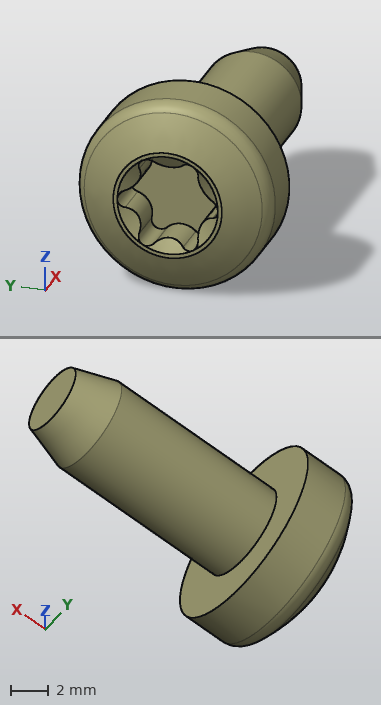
import cadquery as cq
import math

total_length = 17.3
head_radius = 10.8 / 2
head_height = 4.3
shank_radius = 5.5 / 2

face_radius = 3.01
dome_end_x = 0.95
dome_end_radius = 4.93
dome_radius = 9.52
rim_end_x = 1.78
rim_radius = 0.97

taper_start_x = 14.83
tip_radius = 1.97

lobe_count = 6
lobe_outer_radius = 2.79
lobe_inner_radius = 2.02
lobe_tip_radius = 0.5
socket_depth = 2.4
countersink_depth = 0.45


def make_body():
    """Revolve the half profile of head and shank about the X axis."""
    profile = (
        cq.Workplane("XY")
        .lineTo(0, face_radius)
        .radiusArc((dome_end_x, dome_end_radius), dome_radius)
        .radiusArc((rim_end_x, head_radius), rim_radius)
        .lineTo(head_height, head_radius)
        .lineTo(head_height, shank_radius)
        .lineTo(taper_start_x, shank_radius)
        .lineTo(total_length, tip_radius)
        .lineTo(total_length, 0)
        .close()
    )
    return profile.revolve(360, (0, 0, 0), (1, 0, 0))


def polar(radius, angle):
    return (radius * math.cos(angle), radius * math.sin(angle))


def make_socket():
    """Six lobes joined by tangent valley arcs, with one lobe on the Y axis."""
    half_pitch = math.pi / lobe_count
    tip_center = lobe_outer_radius - lobe_tip_radius

    axial_gap = tip_center * math.cos(half_pitch) - lobe_inner_radius
    side_gap = tip_center * math.sin(half_pitch)
    valley_radius = (axial_gap**2 + side_gap**2 - lobe_tip_radius**2) / (2 * (axial_gap + lobe_tip_radius))
    valley_center = lobe_inner_radius + valley_radius

    tip_share = lobe_tip_radius / (lobe_tip_radius + valley_radius)
    valley_x, valley_y = polar(valley_center, half_pitch)
    tangent_x = tip_center + (valley_x - tip_center) * tip_share
    tangent_y = valley_y * tip_share
    tangent_radius = math.hypot(tangent_x, tangent_y)
    tangent_angle = math.atan2(tangent_y, tangent_x)

    outline = cq.Workplane("YZ").moveTo(*polar(tangent_radius, -tangent_angle))
    for lobe in range(lobe_count):
        angle = 2 * half_pitch * lobe
        next_angle = angle + 2 * half_pitch
        outline = outline.threePointArc(
            polar(lobe_outer_radius, angle), polar(tangent_radius, angle + tangent_angle)
        ).threePointArc(
            polar(lobe_inner_radius, angle + half_pitch), polar(tangent_radius, next_angle - tangent_angle)
        )
    return outline.close().extrude(socket_depth)


def make_countersink():
    """Shallow cone from the lobe tips at the face to the valleys below it."""
    return (
        cq.Workplane("XY")
        .lineTo(0, lobe_outer_radius)
        .lineTo(countersink_depth, lobe_inner_radius)
        .lineTo(countersink_depth, 0)
        .close()
        .revolve(360, (0, 0, 0), (1, 0, 0))
    )


result = make_body().cut(make_socket()).cut(make_countersink())